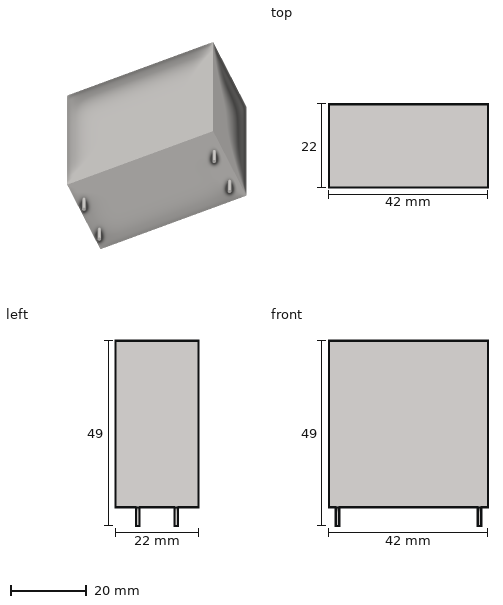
import cadquery as cq

total_height = 49.0
body_length = 42.0
body_width = 22.0

pin_length = 5.0
pin_diameter = 1.0
pin_spacing_x = 37.5
pin_spacing_y = 10.2

body_height = total_height - pin_length

body = cq.Workplane("XY").box(body_length, body_width, body_height, centered=(True, True, False))

pins = (
    cq.Workplane("XY")
    .rect(pin_spacing_x, pin_spacing_y, forConstruction=True)
    .vertices()
    .circle(pin_diameter / 2)
    .extrude(-pin_length)
)

result = body.union(pins)